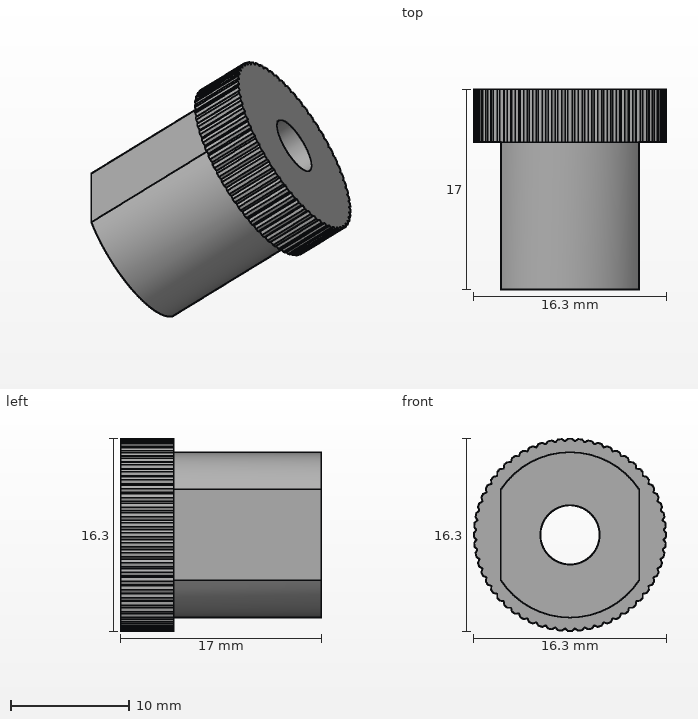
import cadquery as cq
import math

total_length = 17.0
head_length = 4.5
head_diameter = 16.3
knurl_count = 60
knurl_depth = 0.2
crest_width = 0.34
shank_diameter = 14.0
across_flats = 11.7
bore_diameter = 5.0

front_y = -total_length / 2
shank_length = total_length - head_length


def bar_plane(start_y):
    """Plane across the axis whose local x is X, local y is -Z and normal is +Y."""
    return cq.Plane(origin=(0, start_y, 0), xDir=(1, 0, 0), normal=(0, 1, 0))


def ridge_point(radial, sideways, ridge):
    """Point given in the frame of one ridge: distance out along its centre line, then across it."""
    angle = ridge * 2 * math.pi / knurl_count
    return (
        radial * math.cos(angle) - sideways * math.sin(angle),
        radial * math.sin(angle) + sideways * math.cos(angle),
    )


def knurled_head():
    """Disc edged with flat-topped ridges that meet in sharp valleys."""
    crest_radius = head_diameter / 2
    valley_radius = crest_radius - knurl_depth
    outline = []
    for ridge in range(knurl_count):
        outline.append(ridge_point(crest_radius, -crest_width / 2, ridge))
        outline.append(ridge_point(crest_radius, crest_width / 2, ridge))
        outline.append(ridge_point(valley_radius, 0, ridge + 0.5))
    return cq.Workplane(bar_plane(front_y + shank_length)).polyline(outline).close().extrude(head_length)


def flatted_shank():
    """Round shank with two parallel flats facing -X and +X."""
    plane = bar_plane(front_y)
    round_bar = cq.Workplane(plane).circle(shank_diameter / 2).extrude(shank_length)
    flats_envelope = cq.Workplane(plane).rect(across_flats, shank_diameter).extrude(shank_length)
    return round_bar.intersect(flats_envelope)


def through_bore():
    return cq.Workplane(bar_plane(front_y)).circle(bore_diameter / 2).extrude(total_length)


result = knurled_head().union(flatted_shank()).cut(through_bore())